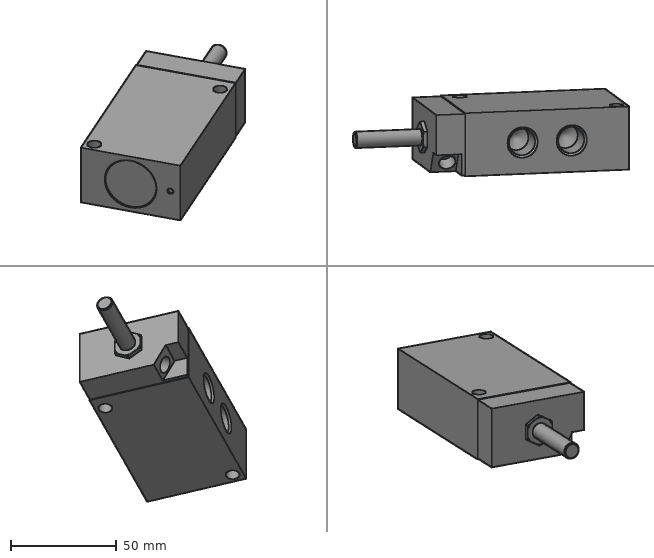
import cadquery as cq
import math

body_width = 50.0
body_length = 80.0
body_height = 30.5

cap_length = 14.0
cap_side_inset = 0.1
cap_top_inset = 0.4
cap_width = body_width - 2 * cap_side_inset
cap_height = body_height - 2 * cap_top_inset
cap_back = body_length + cap_length

flange_thickness = 1.5
ledge_depth = 6.4
slant_height = 10.4
slant_angle = 30
slant_depth = slant_height * math.tan(math.radians(slant_angle))
connector_hole_diameter = 8.0
connector_hole_depth = 7.0
connector_hole_rise = 5.0
connector_hole_y = body_length + 6.4

nut_sides = 6
nut_across_flats = 13.0
nut_thickness = 2.0
nut_chamfer_length = 0.3
nut_chamfer_width = 0.8
rod_diameter = 8.0
rod_end = 128
rod_chamfer = 0.5

port_positions = (28.0, 52.0)
port_mouth_diameter = 14.7
port_outer_diameter = 12.7
port_inner_diameter = 11.8
port_chamfer = (port_mouth_diameter - port_outer_diameter) / 2
port_depth = 12.8
drill_half_angle = 59
port_tip_depth = port_depth + port_inner_diameter / 2 / math.tan(math.radians(drill_half_angle))

hole_offset_x = 20.0
mounting_hole_diameter = 6.5
front_mounting_y = 5.0
back_mounting_y = 72.0
pin_hole_diameter = 3.0
pin_hole_depth = 1.0

recess_diameter = 26.1
recess_depth = 0.4


def block(width, height, front, length):
    """Box centred on X and Z, reaching back from Y = front."""
    return cq.Workplane("XY").box(width, length, height).translate((0, front + length / 2, 0))


def cap():
    """End cap with an undercut lower -X edge behind a thin full-size flange."""
    side = -cap_width / 2
    bottom = -cap_height / 2
    ledge_z = bottom + slant_height
    ledge_inner_x = side + ledge_depth
    undercut = (
        cq.Workplane("XZ", origin=(0, cap_back, 0))
        .moveTo(side, bottom)
        .lineTo(side, ledge_z)
        .lineTo(ledge_inner_x, ledge_z)
        .lineTo(ledge_inner_x + slant_depth, bottom)
        .close()
        .extrude(cap_length - flange_thickness)
    )
    slope = math.radians(slant_angle)
    inward = cq.Vector(math.cos(slope), 0, math.sin(slope))
    hole_drop = slant_height - connector_hole_rise
    hole_x = ledge_inner_x + hole_drop * math.tan(slope)
    hole_centre = cq.Vector(hole_x, connector_hole_y, bottom + connector_hole_rise)
    hole = cq.Solid.makeCylinder(connector_hole_diameter / 2, connector_hole_depth, hole_centre, inward)
    return block(cap_width, cap_height, body_length, cap_length).cut(undercut).cut(cq.Workplane(hole))


def nut_and_rod():
    """Hexagon nut with two flats facing along X, and the chamfered rod through it."""
    across_corners = nut_across_flats / math.cos(math.pi / nut_sides)
    plane = cq.Plane(origin=(0, cap_back, 0), xDir=(0, 0, 1), normal=(0, 1, 0))
    corner_trim = (
        cq.Workplane(plane)
        .circle(across_corners / 2)
        .extrude(nut_thickness)
        .faces(">Y")
        .chamfer(nut_chamfer_length, nut_chamfer_width)
    )
    nut = cq.Workplane(plane).polygon(nut_sides, across_corners).extrude(nut_thickness).intersect(corner_trim)
    rod = (
        cq.Workplane(plane)
        .circle(rod_diameter / 2)
        .extrude(rod_end - cap_back)
        .faces(">Y")
        .chamfer(rod_chamfer)
    )
    return nut.union(rod)


def port(position):
    """Cutter for one side port, revolved about an axis along X."""
    side = -body_width / 2
    return (
        cq.Workplane("XY", origin=(side, position, 0))
        .lineTo(0, port_mouth_diameter / 2)
        .lineTo(port_chamfer, port_outer_diameter / 2)
        .lineTo(port_depth, port_inner_diameter / 2)
        .lineTo(port_tip_depth, 0)
        .close()
        .revolve(360, (0, 0, 0), (1, 0, 0))
    )


def mounting_hole(x, y):
    """Cutter for a hole straight through the body height."""
    return (
        cq.Workplane("XY", origin=(x, y, -body_height / 2))
        .circle(mounting_hole_diameter / 2)
        .extrude(body_height)
    )


def front_recess():
    """Shallow disc with a 45 degree rim."""
    forward = cq.Vector(0, 1, 0)
    outer_radius = recess_diameter / 2
    disc = cq.Solid.makeCone(outer_radius, outer_radius - recess_depth, recess_depth, cq.Vector(), forward)
    return cq.Workplane(disc)


def pin_hole():
    """Small blind hole in the front face."""
    centre = cq.Vector(hole_offset_x, 0, 0)
    hole = cq.Solid.makeCylinder(pin_hole_diameter / 2, pin_hole_depth, centre, cq.Vector(0, 1, 0))
    return cq.Workplane(hole)


result = block(body_width, body_height, 0, body_length).union(cap()).union(nut_and_rod())
for port_y in port_positions:
    result = result.cut(port(port_y))
result = result.cut(mounting_hole(-hole_offset_x, front_mounting_y))
result = result.cut(mounting_hole(hole_offset_x, back_mounting_y))
result = result.cut(front_recess()).cut(pin_hole())